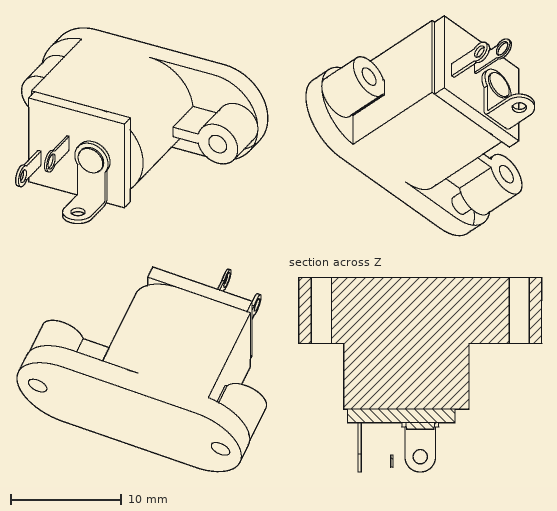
import cadquery as cq


flange_length = 22.1
jack_height = 9.0
flange_thickness = 2.01
housing_depth = 10.0
housing_left_x = -6.96
barrel_axis_x = -0.05
end_radius = jack_height / 2
flange_center_x = flange_length / 2 - end_radius

boss_center_x = 9.0
boss_radius = flange_length / 2 - boss_center_x
boss_length = 4.0
boss_hole_diameter = 1.81
left_rib_height = 1.8
right_rib_height = 1.02

plate_left_x = -6.63
plate_right_x = 3.15
plate_thickness = 1.22

terminal_reach = 4.49

strip_width = 2.8
strip_thickness = 0.4
bend_inner_radius = 0.2
ring_radius = 1.7
solder_hole_diameter = 1.28
rivet_diameter = 2.52
rivet_length = 0.6

blade_width = 1.5
eye_radius = 1.0
blades = [
    (-5.5, -1.6, 0.3, 1.2),
    (-2.59, 0.82, 0.22, 1.41),
]

flange_back_y = -flange_thickness
housing_back_y = flange_back_y - housing_depth
plate_back_y = housing_back_y - plate_thickness
terminal_tip_y = plate_back_y - terminal_reach


def rear_plane(y):
    """Sketch plane at the given Y whose extrusions go toward -Y; local axes are X and Z."""
    return cq.Workplane("XZ", origin=(0, y, 0))


def capsule(y, left_center_x, right_center_x, depth):
    """Full-height prism with a half-round at each end."""
    length = right_center_x - left_center_x + 2 * end_radius
    middle_x = (left_center_x + right_center_x) / 2
    return rear_plane(y).center(middle_x, 0).slot2D(length, jack_height).extrude(depth)


def slab(left_x, right_x, y, height, depth):
    """Rectangular block centered on Z = 0."""
    width = right_x - left_x
    return rear_plane(y).center(left_x + width / 2, 0).rect(width, height).extrude(depth)


def make_housing():
    flange = capsule(0, -flange_center_x, flange_center_x, flange_thickness)

    barrel = capsule(flange_back_y, -flange_center_x, barrel_axis_x, housing_depth)
    left_trim = slab(housing_left_x, end_radius, flange_back_y, jack_height, housing_depth)
    barrel = barrel.intersect(left_trim)

    boss_points = [(-boss_center_x, 0), (boss_center_x, 0)]
    bosses = rear_plane(flange_back_y).pushPoints(boss_points).circle(boss_radius).extrude(boss_length)
    left_rib = slab(-boss_center_x, housing_left_x, flange_back_y, left_rib_height, boss_length)
    right_rib = slab(barrel_axis_x, boss_center_x, flange_back_y, right_rib_height, boss_length)

    hole_depth = flange_thickness + boss_length
    holes = rear_plane(0).pushPoints(boss_points).circle(boss_hole_diameter / 2).extrude(hole_depth)
    return flange.union(barrel).union(bosses).union(left_rib).union(right_rib).cut(holes)


def make_rear_plate():
    return slab(plate_left_x, plate_right_x, housing_back_y, jack_height, plate_thickness)


def rivet_disc(radius, depth):
    """Disc on the back of the rear plate, centered on X = 0, Z = 0."""
    return rear_plane(plate_back_y).circle(radius).extrude(depth)


def make_center_terminal():
    bottom_z = -jack_height / 2
    bend_outer_radius = bend_inner_radius + strip_thickness
    tip_radius = strip_width / 2
    tip_center_y = terminal_tip_y + tip_radius

    strip = (
        cq.Workplane("YZ", origin=(-strip_width / 2, 0, 0))
        .moveTo(plate_back_y, 0)
        .lineTo(plate_back_y, bottom_z + bend_outer_radius)
        .radiusArc((plate_back_y - bend_outer_radius, bottom_z), bend_outer_radius)
        .lineTo(tip_center_y, bottom_z)
        .lineTo(tip_center_y, bottom_z + strip_thickness)
        .lineTo(plate_back_y - bend_outer_radius, bottom_z + strip_thickness)
        .radiusArc((plate_back_y - strip_thickness, bottom_z + bend_outer_radius), -bend_inner_radius)
        .lineTo(plate_back_y - strip_thickness, 0)
        .close()
        .extrude(strip_width)
    )
    ring = rivet_disc(ring_radius, strip_thickness)
    tip_plane = cq.Workplane("XY", origin=(0, tip_center_y, bottom_z))
    tip = tip_plane.circle(tip_radius).extrude(strip_thickness)
    solder_hole = tip_plane.circle(solder_hole_diameter / 2).extrude(strip_thickness)
    rivet_hole = rivet_disc(rivet_diameter / 2, strip_thickness)
    return strip.union(ring).union(tip).cut(solder_hole).cut(rivet_hole)


def make_rivet():
    return rivet_disc(rivet_diameter / 2, rivet_length)


def make_blade(center_x, center_z, thickness, hole_diameter):
    """Thin upright strip that ends in a round solder eye."""
    eye_center_y = terminal_tip_y + eye_radius
    shank_length = plate_back_y - eye_center_y
    eye_plane = cq.Workplane("YZ", origin=(center_x - thickness / 2, eye_center_y, center_z))
    shank = eye_plane.center(shank_length / 2, 0).rect(shank_length, blade_width).extrude(thickness)
    eye = eye_plane.circle(eye_radius).extrude(thickness)
    hole = eye_plane.circle(hole_diameter / 2).extrude(thickness)
    return shank.union(eye).cut(hole)


housing = make_housing()
rear_plate = make_rear_plate()
center_terminal = make_center_terminal()
rivet = make_rivet()
blade_terminals = [make_blade(*blade) for blade in blades]

result = cq.Compound.makeCompound([
    housing.val(),
    rear_plate.val(),
    center_terminal.val(),
    rivet.val(),
    *[blade.val() for blade in blade_terminals],
])